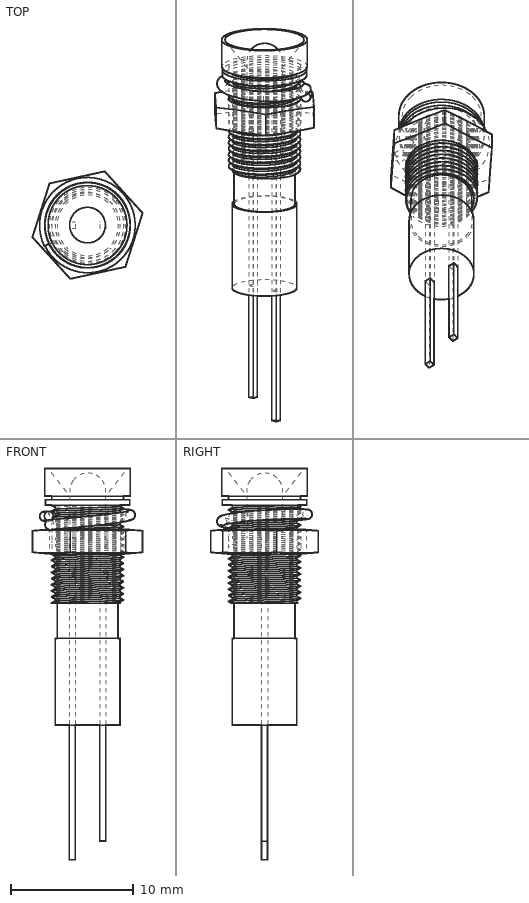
import cadquery as cq
import math


HEAD_DIA = 7.0
HEAD_BOTTOM = -2.27
NECK_DIA = 5.9
FLANGE_DIA = 6.9
FLANGE_TOP = -2.55
FLANGE_BOTTOM = -3.0
THREAD_BOTTOM = -11.0
SHANK_DIA = 5.0
SHANK_BOTTOM = -13.9
BARREL_DIA = 5.3
BARREL_BOTTOM = -21.0

THREAD_DIA = NECK_DIA
THREAD_ROOT_DIA = 5.3
THREAD_PITCH = 0.5
RIDGE_OVERLAP = 0.03
RIDGE_HALF_ANGLE = 30

REFLECTOR_DIA = 6.45
LED_DIA = 2.9
LED_TOP = -0.35
LED_LENGTH = 5.3
REFLECTOR_BOTTOM = -2.27
LED_BOTTOM = LED_TOP - LED_LENGTH

LEAD_WIDTH = 0.5
LEAD_SPACING = 2.5
LEAD_BOTTOMS = {-LEAD_SPACING / 2: -32.0, LEAD_SPACING / 2: -30.45}

NUT_FLATS = 8.0
NUT_CORNERS = NUT_FLATS / math.cos(math.radians(30))
NUT_TURN = 12.3
NUT_TOP = -4.95
NUT_BOTTOM = -7.0
NUT_FACE_FALL = math.tan(math.radians(5))

WIRE_DIA = 0.8
COIL_DIA = 7.0
COIL_PITCH = 0.7
COIL_RISE = 0.5
SPLIT_ANGLE = 206
WASHER_CLEARANCE = 0.005


def cylinder(diameter, top, bottom):
    return cq.Workplane("XY", origin=(0, 0, bottom)).circle(diameter / 2).extrude(top - bottom)


def lead_bar(x, top, bottom):
    return (
        cq.Workplane("XY", origin=(x, 0, bottom))
        .rect(LEAD_WIDTH, LEAD_WIDTH)
        .extrude(top - bottom)
    )


def threaded_section():
    """Core with a right-hand helical ridge, cut off square at the end of the thread."""
    base_radius = THREAD_ROOT_DIA / 2 - RIDGE_OVERLAP
    crest_radius = THREAD_DIA / 2
    half_base = (crest_radius - base_radius) * math.tan(math.radians(RIDGE_HALF_ANGLE))
    start = THREAD_BOTTOM - THREAD_PITCH / 2
    helix = cq.Wire.makeHelix(
        THREAD_PITCH, FLANGE_BOTTOM - start, base_radius, center=cq.Vector(0, 0, start)
    )
    ridge = (
        cq.Workplane("XZ")
        .moveTo(base_radius, start - half_base)
        .lineTo(crest_radius, start)
        .lineTo(base_radius, start + half_base)
        .close()
        .sweep(cq.Workplane(obj=helix), isFrenet=True)
    )
    core = cylinder(THREAD_ROOT_DIA, FLANGE_TOP, start - THREAD_PITCH)
    return core.union(ridge).intersect(cylinder(FLANGE_DIA, FLANGE_TOP, THREAD_BOTTOM))


def led():
    radius = LED_DIA / 2
    return (
        cq.Workplane("XZ")
        .moveTo(0, LED_BOTTOM)
        .lineTo(radius, LED_BOTTOM)
        .lineTo(radius, LED_TOP - radius)
        .radiusArc((0, LED_TOP), -radius)
        .close()
        .revolve(360, (0, 0), (0, 1))
    )


def reflector_cavity():
    """Conical reflector above the straight bore that holds the LED."""
    return (
        cq.Workplane("XZ")
        .moveTo(0, 0)
        .lineTo(REFLECTOR_DIA / 2, 0)
        .lineTo(LED_DIA / 2, REFLECTOR_BOTTOM)
        .lineTo(LED_DIA / 2, LED_BOTTOM)
        .lineTo(0, LED_BOTTOM)
        .close()
        .revolve(360, (0, 0), (0, 1))
    )


def housing():
    body = (
        threaded_section()
        .union(cylinder(HEAD_DIA, 0, HEAD_BOTTOM))
        .union(cylinder(NECK_DIA, HEAD_BOTTOM, FLANGE_TOP))
        .union(cylinder(FLANGE_DIA, FLANGE_TOP, FLANGE_BOTTOM))
        .union(cylinder(SHANK_DIA, THREAD_BOTTOM, SHANK_BOTTOM))
        .union(cylinder(BARREL_DIA, SHANK_BOTTOM, BARREL_BOTTOM))
        .cut(reflector_cavity())
    )
    for x in LEAD_BOTTOMS:
        body = body.cut(lead_bar(x, LED_BOTTOM, BARREL_BOTTOM))
    return body


def nut():
    """Hexagon nut with slightly conical end faces, highest at the bore."""
    bore_radius = THREAD_DIA / 2
    corner_radius = NUT_CORNERS / 2
    fall = (corner_radius - bore_radius) * NUT_FACE_FALL
    ring = (
        cq.Workplane("XZ")
        .moveTo(bore_radius, NUT_BOTTOM)
        .lineTo(corner_radius, NUT_BOTTOM + fall)
        .lineTo(corner_radius, NUT_TOP - fall)
        .lineTo(bore_radius, NUT_TOP)
        .close()
        .revolve(360, (0, 0), (0, 1))
    )
    hexagon = (
        cq.Workplane("XY", origin=(0, 0, NUT_BOTTOM))
        .polygon(6, NUT_CORNERS)
        .extrude(NUT_TOP - NUT_BOTTOM)
        .rotate((0, 0, 0), (0, 0, 1), NUT_TURN)
    )
    return hexagon.intersect(ring)


def spring_washer():
    """Coil tilted about its centre; its lower end sits just clear of the top face of the nut."""
    coil_radius = COIL_DIA / 2
    helix = cq.Wire.makeHelix(COIL_PITCH, COIL_PITCH, coil_radius)
    coil = (
        cq.Workplane("XZ", origin=(coil_radius, 0, 0))
        .circle(WIRE_DIA / 2)
        .sweep(cq.Workplane(obj=helix), isFrenet=True)
    )
    tilt = math.asin(COIL_RISE / COIL_DIA)
    lower_end = -COIL_RISE / 2 - COIL_PITCH / 2 * math.cos(tilt)
    nut_face = NUT_TOP - (coil_radius - THREAD_DIA / 2) * NUT_FACE_FALL
    rest_height = nut_face + WIRE_DIA / 2 * math.hypot(1, NUT_FACE_FALL) + WASHER_CLEARANCE
    return (
        coil.translate((0, 0, -COIL_PITCH / 2))
        .rotate((0, 0, 0), (0, 1, 0), math.degrees(tilt))
        .rotate((0, 0, 0), (0, 0, 1), SPLIT_ANGLE)
        .translate((0, 0, rest_height - lower_end))
    )


leads = [lead_bar(x, LED_BOTTOM, bottom) for x, bottom in LEAD_BOTTOMS.items()]

result = cq.Compound.makeCompound(
    [
        housing().val(),
        led().val(),
        nut().val(),
        spring_washer().val(),
        *[lead.val() for lead in leads],
    ]
)